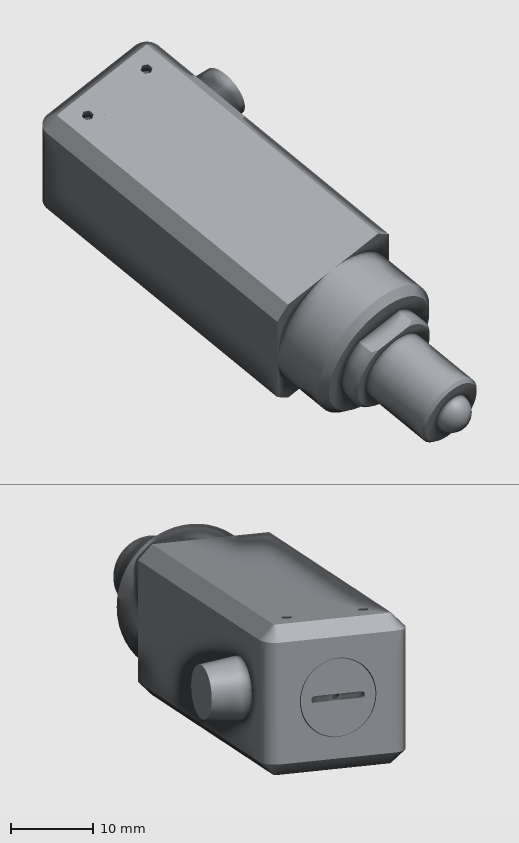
import cadquery as cq
import math

SIDE = 19.0
BLOCK_LENGTH = 42.0
REAR_RADIUS = 2.0
EDGE_CHAMFER = 1.8

HEAD_END = 50.0
HEAD_CHAMFER = 1.0
COLLAR_END = 52.5
COLLAR_DIAMETER = 13.0
COLLAR_FLATS = 11.05
SHAFT_END = 62.45
SHAFT_DIAMETER = 9.5
SMALL_CHAMFER = 0.4
TOTAL_LENGTH = 65.0
BALL_RADIUS = TOTAL_LENGTH - SHAFT_END

OUTLET_X = 8.5
OUTLET_LENGTH = 5.0
OUTLET_BASE_DIAMETER = 8.0
OUTLET_TIP_DIAMETER = 6.75

COVER_DIAMETER = 10.0
COVER_GROOVE_WIDTH = 0.1
COVER_GROOVE_DEPTH = 1.0
SLOT_LENGTH = 7.0
SLOT_WIDTH = 1.0
SLOT_DEPTH = 1.0
SLOT_HOLE_DEPTH = 1.95

SCREW_X = 4.5
SCREW_SPACING = 10.0
SCREW_DIAMETER = 4.15
SCREW_LENGTH = 4.0
SOCKET_FLATS = 1.3
SOCKET_DEPTH = 1.3
SOCKET_CONE_ANGLE = 140.0

SCREW_POSITIONS = [(SCREW_X, side * SCREW_SPACING / 2) for side in (-1, 1)]


def make_block():
    """Square block with rounded upright rear edges and chamfered top, bottom and rear edges."""
    block = cq.Workplane("XY").box(BLOCK_LENGTH, SIDE, SIDE, centered=(False, True, True))
    block = block.edges("|Z and <X").fillet(REAR_RADIUS)
    top_and_bottom = block.faces("<Z or >Z").edges("not(>X)")
    return top_and_bottom.chamfer(EDGE_CHAMFER)


def make_rod(start, end, diameter, chamfer):
    """Cylinder along X with a chamfer on its +X end."""
    rod = cq.Workplane("YZ", origin=(start, 0, 0)).circle(diameter / 2).extrude(end - start)
    return rod.faces(">X").chamfer(chamfer)


def make_collar():
    """Collar with two wrench flats, facing up and down."""
    collar = make_rod(HEAD_END, COLLAR_END, COLLAR_DIAMETER, SMALL_CHAMFER)
    between_flats = cq.Workplane("XY").box(2 * TOTAL_LENGTH, COLLAR_DIAMETER, COLLAR_FLATS)
    return collar.intersect(between_flats)


def make_nose():
    """Head, collar, shaft and the half ball at the tip."""
    head = make_rod(BLOCK_LENGTH, HEAD_END, SIDE, HEAD_CHAMFER)
    shaft = make_rod(COLLAR_END, SHAFT_END, SHAFT_DIAMETER, SMALL_CHAMFER)
    ball = cq.Workplane("XY", origin=(SHAFT_END, 0, 0)).sphere(BALL_RADIUS)
    return head.union(make_collar()).union(shaft).union(ball)


def make_outlet():
    """Cone frustum standing on the +Y face."""
    taper = math.degrees(math.atan((OUTLET_BASE_DIAMETER - OUTLET_TIP_DIAMETER) / 2 / OUTLET_LENGTH))
    base = cq.Workplane("XZ", origin=(OUTLET_X, SIDE / 2, 0)).circle(OUTLET_BASE_DIAMETER / 2)
    return base.extrude(-OUTLET_LENGTH, taper=taper)


def make_cover_cuts():
    """Ring groove around the cover, its slot and the small hole in the slot's middle."""
    rear = cq.Workplane("YZ")
    groove = (
        rear.circle(COVER_DIAMETER / 2)
        .circle(COVER_DIAMETER / 2 - COVER_GROOVE_WIDTH)
        .extrude(COVER_GROOVE_DEPTH)
    )
    slot = rear.slot2D(SLOT_LENGTH, SLOT_WIDTH).extrude(SLOT_DEPTH)
    hole = rear.circle(SLOT_WIDTH / 2).extrude(SLOT_HOLE_DEPTH)
    return groove.union(slot).union(hole)


def make_screw_blank(x, y):
    """Plain cylinder that fills a screw's hole up to the top face."""
    return cq.Workplane("XY", origin=(x, y, SIDE / 2)).circle(SCREW_DIAMETER / 2).extrude(-SCREW_LENGTH)


def make_screw(x, y):
    """Flush screw with a hexagon socket that ends in a drill point."""
    corner_diameter = SOCKET_FLATS / math.cos(math.pi / 6)
    socket = cq.Workplane("XY", origin=(x, y, SIDE / 2)).polygon(6, corner_diameter).extrude(-SOCKET_DEPTH)
    cone_radius = SOCKET_FLATS / 2
    cone_height = cone_radius / math.tan(math.radians(SOCKET_CONE_ANGLE / 2))
    socket_floor = cq.Vector(x, y, SIDE / 2 - SOCKET_DEPTH)
    drill_point = cq.Solid.makeCone(cone_radius, 0, cone_height, socket_floor, cq.Vector(0, 0, -1))
    return make_screw_blank(x, y).cut(socket).cut(cq.Workplane(drill_point))


def make_housing():
    """Block, nose and cable outlet in one piece, with the cover cuts and the screw holes."""
    housing = make_block().union(make_nose()).union(make_outlet()).cut(make_cover_cuts())
    for x, y in SCREW_POSITIONS:
        housing = housing.cut(make_screw_blank(x, y))
    return housing


housing = make_housing()
screws = [make_screw(x, y) for x, y in SCREW_POSITIONS]

result = cq.Compound.makeCompound([housing.val(), *[screw.val() for screw in screws]])